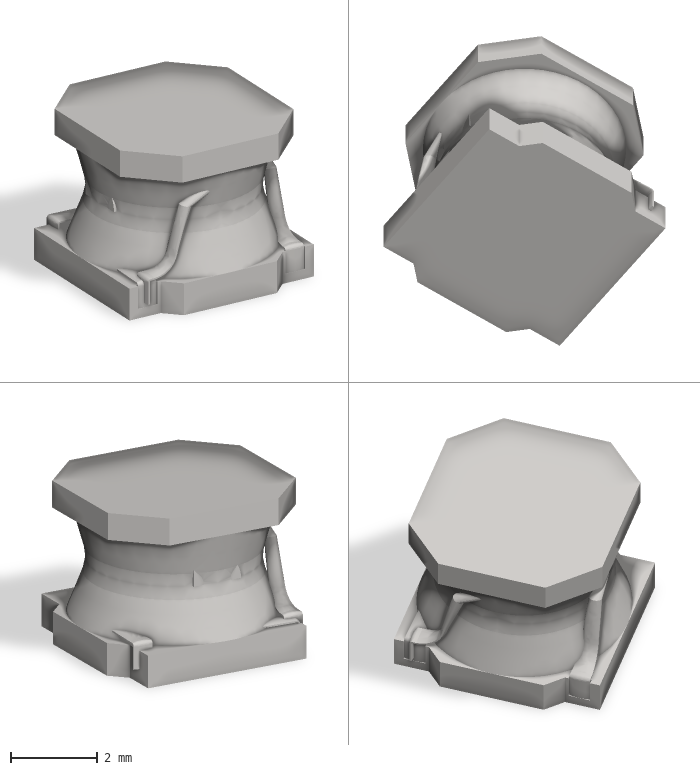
import cadquery as cq
import math

HEIGHT = 4.0
WIDTH = 5.0

BASE_HEIGHT = 0.8
BASE_END_WIDTH = 4.22
BASE_MIDDLE_LENGTH = 3.3
TOP_THICKNESS = 0.66
TOP_LENGTH = 4.7
TOP_CHAMFER = 1.05
SPOOL_DIAMETER = 3.0

WAIST_RADIUS = 2.0
WAIST_HEIGHT = 2.085
WAIST_FILLET = 0.98

WINDING_RADIUS = 1.75
FLAT_RADIUS = 0.64
FLAT_EDGE = 0.62
FLAT_DEPTH = 2.02

PAD_WIDTH = 4.02
PAD_HEIGHT = 0.4
PAD_THICKNESS = 0.1

LEAD_CENTER = 2.0
LEAD_WIDTH = 0.5
LEAD_THICKNESS = 0.1
LEAD_SIDE = 0.04
LEAD_END = 0.35
LEAD_LIFT = 0.115
BEND_START = 1.91
BEND_CENTER = 2.0
BEND_RADIUS = 0.055
TONGUE_TIP = 0.5
TONGUE_TIP_WIDTH = 0.4
TONGUE_TIP_THICKNESS = 0.175
SLOT_CLEARANCE = 0.015

RISER_CURVE = ((2.005, -1.5, 1.105), 42, 0.44, 0.13)
RISER_KNEE = ((2.005, -1.26, 1.53), 74, 0.4, 0.16)
RISER_SHANK = ((2.015, -1.08, 2.1), 76, 0.36, 0.25)
RISER_SHOULDER = ((2.025, -0.94, 2.53), 74, 0.31, 0.3)
RISER_TIP = ((2.045, -0.35, 2.825), 35, 0.25, 0.25)

TOP_BOTTOM = HEIGHT - TOP_THICKNESS
SPOOL_RADIUS = SPOOL_DIAMETER / 2
FRONT_LEAD_HEIGHT = BASE_HEIGHT + LEAD_LIFT + LEAD_THICKNESS / 2


def make_slot(y):
    """Open slot in the +X side of the base for the drop of a side lead."""
    width = LEAD_WIDTH + 2 * SLOT_CLEARANCE
    slot = cq.Workplane("XY").box(WIDTH, width, HEIGHT, centered=(False, True, False))
    return slot.translate((BEND_CENTER, y, LEAD_END - LEAD_LIFT))


def make_base():
    middle = (
        cq.Workplane("XY")
        .rect(WIDTH, BASE_MIDDLE_LENGTH)
        .extrude(BASE_HEIGHT)
        .edges("|Z")
        .chamfer((WIDTH - BASE_END_WIDTH) / 2)
    )
    ends = cq.Workplane("XY").rect(BASE_END_WIDTH, WIDTH).extrude(BASE_HEIGHT)
    base = middle.union(ends)
    for y in (-LEAD_CENTER, LEAD_CENTER):
        base = base.cut(make_slot(y))
    return base


def make_core():
    spool = cq.Workplane("XY").circle(SPOOL_RADIUS).extrude(HEIGHT)
    top = (
        cq.Workplane("XY", origin=(0, 0, TOP_BOTTOM))
        .rect(WIDTH, TOP_LENGTH)
        .extrude(TOP_THICKNESS)
        .edges("|Z")
        .chamfer(TOP_CHAMFER)
    )
    return make_base().union(spool).union(top)


def make_winding():
    """A ring on the spool whose two flat-faced bulges break through the coating."""
    flats = (
        cq.Workplane("XZ", origin=(0, FLAT_DEPTH, WAIST_HEIGHT))
        .moveTo(-FLAT_EDGE, 0)
        .lineTo(-FLAT_EDGE, FLAT_RADIUS)
        .lineTo(0, FLAT_RADIUS)
        .radiusArc((FLAT_RADIUS, 0), FLAT_RADIUS)
        .close()
        .extrude(2 * FLAT_DEPTH)
    )
    level = cq.Workplane("XY", origin=(0, 0, WAIST_HEIGHT))
    ring = level.circle(WINDING_RADIUS).extrude(FLAT_RADIUS)
    return ring.union(flats).cut(level.circle(SPOOL_RADIUS).extrude(FLAT_RADIUS))


def make_coating():
    """Two cones meeting in a rounded waist, bored for the spool."""
    cones = (
        cq.Workplane("XZ")
        .moveTo(0, BASE_HEIGHT)
        .lineTo(WIDTH / 2, BASE_HEIGHT)
        .lineTo(WAIST_RADIUS, WAIST_HEIGHT)
        .lineTo(TOP_LENGTH / 2, TOP_BOTTOM)
        .lineTo(0, TOP_BOTTOM)
        .close()
        .revolve(360, (0, 0, 0), (0, 1, 0))
    )
    rounded = cones.edges("%CIRCLE").edges(cq.selectors.RadiusNthSelector(0)).fillet(WAIST_FILLET)
    return rounded.cut(cq.Workplane("XY").circle(SPOOL_RADIUS).extrude(HEIGHT))


def make_pad(side):
    middle = side * (WIDTH - PAD_THICKNESS) / 2
    outline = cq.Workplane("XY", origin=(0, middle, 0)).rect(PAD_WIDTH, PAD_THICKNESS)
    return outline.extrude(PAD_HEIGHT)


def lead_section(center, lean=0, width=LEAD_WIDTH, thickness=LEAD_THICKNESS):
    """Wire section with two crowned faces; lean turns its upper face from +Z towards -Y."""
    tilt = math.radians(lean)
    normal = (0, -math.cos(tilt), -math.sin(tilt))
    plane = cq.Plane(origin=center, xDir=(1, 0, 0), normal=normal)
    edge = width / 2
    side = LEAD_SIDE / 2
    crown = thickness / 2
    return (
        cq.Workplane(plane)
        .moveTo(-edge, -side)
        .threePointArc((0, -crown), (edge, -side))
        .lineTo(edge, side)
        .threePointArc((0, crown), (-edge, side))
        .close()
    )


def loft_lead(sections):
    return cq.Workplane(cq.Solid.makeLoft([section.wire().val() for section in sections]))


def make_foot(x):
    """Short flat run, bend and drop of a lead at the front of the part."""
    bend_bottom = FRONT_LEAD_HEIGHT - BEND_RADIUS
    run = lead_section((x, -BEND_START, FRONT_LEAD_HEIGHT)).extrude(BEND_CENTER - BEND_START)
    bend = lead_section((x, -BEND_CENTER, FRONT_LEAD_HEIGHT)).revolve(
        90, (0, -BEND_RADIUS, 0), (1, -BEND_RADIUS, 0)
    )
    drop_top = lead_section((x, -BEND_CENTER - BEND_RADIUS, bend_bottom), lean=90)
    drop = drop_top.extrude(bend_bottom - LEAD_END)
    return run.union(bend).union(drop)


def make_flat_lead():
    """Lead whose tongue runs level into the coating and becomes narrower and thicker."""
    root = lead_section((-LEAD_CENTER, -BEND_START, FRONT_LEAD_HEIGHT))
    tip = lead_section(
        (-LEAD_CENTER, -TONGUE_TIP, FRONT_LEAD_HEIGHT),
        width=TONGUE_TIP_WIDTH,
        thickness=TONGUE_TIP_THICKNESS,
    )
    return make_foot(-LEAD_CENTER).union(loft_lead([root, tip]))


def make_rising_lead():
    """Lead that sweeps upward from its foot, becomes nearly round and enters the coating."""
    root = lead_section((LEAD_CENTER, -BEND_START, FRONT_LEAD_HEIGHT))
    curve = lead_section(*RISER_CURVE)
    knee = lead_section(*RISER_KNEE)
    shank = lead_section(*RISER_SHANK)
    shoulder = lead_section(*RISER_SHOULDER)
    tip = lead_section(*RISER_TIP)
    rise = loft_lead([root, curve, knee])
    stem = loft_lead([knee, shank, shoulder])
    end = loft_lead([shoulder, tip])
    return make_foot(LEAD_CENTER).union(rise).union(stem).union(end)


def turn_to_right_side(lead):
    """Quarter turn about Z that moves a front lead to the +X side, lowered onto the base."""
    return lead.rotate((0, 0, 0), (0, 0, 1), 90).translate((0, 0, -LEAD_LIFT))


winding = make_winding()
full_coating = make_coating()
coating = full_coating.cut(winding)

wound_middle = full_coating.union(winding)
flat_lead = make_flat_lead().cut(wound_middle)
rising_lead = make_rising_lead().cut(wound_middle)
leads = [
    flat_lead,
    rising_lead,
    turn_to_right_side(make_flat_lead()).cut(wound_middle).cut(rising_lead),
    turn_to_right_side(make_rising_lead()).cut(wound_middle),
]
pads = [make_pad(side) for side in (-1, 1)]

core = make_core()
for body in pads + leads:
    core = core.cut(body)

bodies = [core, winding, coating, *pads, *leads]
result = cq.Compound.makeCompound([body.solids().val() for body in bodies])